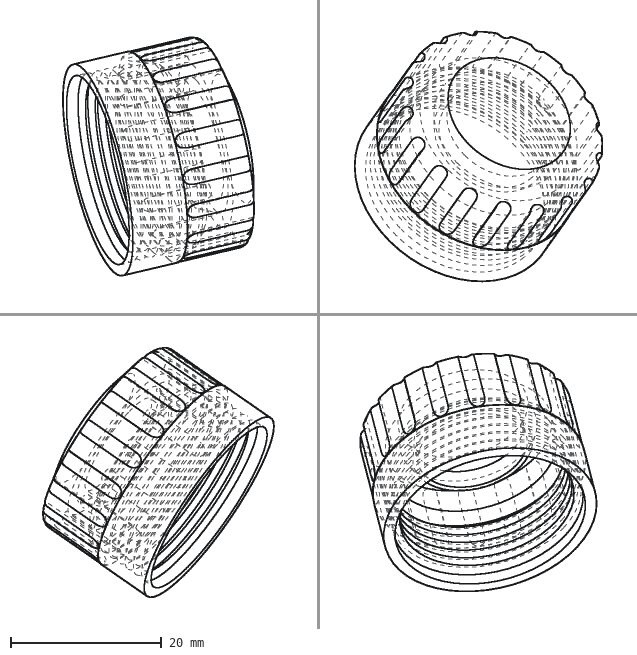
import cadquery as cq
import math


collar_radius = 14.38
collar_length = 7.65
grip_radius = 14.32
grip_end = 17.25
grip_fillet = 0.98
cap_length = 18.8
crown_base_radius = grip_radius - grip_fillet
crown_top_radius = 8.77

mouth_radius = 12.85
mouth_depth = 1.6
crest_radius = 11.75
first_crest = 2.3
thread_pitch = 1.35
crest_count = 6
relief_end = 10.24
relief_cone_end = 11.4
bore_radius = 11.25
bore_floor = 15.0

groove_count = 18
groove_radius = 1.05
groove_depth = 0.98
groove_straight_end = 9.57
groove_runout_radius = 2.2

seal_inner_radius = 7.4
seal_tip_radius = 8.08
seal_base_radius = 9.25
seal_tip = 12.25


def revolve_about_y(profile):
    return profile.close().revolve(360, (0, 0, 0), (0, 1, 0))


def make_cap_blank():
    """Solid outside of the cap, with the rounded grip shoulder below the conical crown."""
    shoulder_offset = grip_fillet * math.sqrt(0.5)
    shoulder_middle = (
        crown_base_radius + shoulder_offset,
        grip_end - grip_fillet + shoulder_offset,
    )
    profile = (
        cq.Workplane("XY")
        .lineTo(collar_radius, 0)
        .lineTo(collar_radius, collar_length)
        .lineTo(grip_radius, collar_length)
        .lineTo(grip_radius, grip_end - grip_fillet)
        .threePointArc(shoulder_middle, (crown_base_radius, grip_end))
        .lineTo(crown_top_radius, cap_length)
        .lineTo(0, cap_length)
    )
    return revolve_about_y(profile)


def make_cavity():
    """Mouth, ring-shaped V thread, relief groove and plain bore as one cutter."""
    profile = cq.Workplane("XY").lineTo(mouth_radius, 0).lineTo(mouth_radius, mouth_depth)
    for index in range(crest_count):
        crest = first_crest + index * thread_pitch
        profile = profile.lineTo(crest_radius, crest)
        profile = profile.lineTo(mouth_radius, crest + thread_pitch / 2)
    profile = (
        profile.lineTo(mouth_radius, relief_end)
        .lineTo(bore_radius, relief_cone_end)
        .lineTo(bore_radius, bore_floor)
        .lineTo(0, bore_floor)
    )
    return revolve_about_y(profile)


def make_groove_cutter():
    """Round-bottomed groove at the +Z side that curves outward at its collar end."""
    groove_center = grip_radius - groove_depth + groove_radius
    runout_offset = groove_runout_radius - groove_radius
    section = cq.Workplane("XZ", origin=(0, groove_straight_end, groove_center))
    straight = section.circle(groove_radius).extrude(groove_straight_end - grip_end)
    runout = section.circle(groove_radius).revolve(90, (0.3, runout_offset, 0), (-0.3, runout_offset, 0))
    return straight.union(runout)


def make_cap():
    cap = make_cap_blank().cut(make_cavity())
    groove = make_groove_cutter()
    for index in range(groove_count):
        angle = index * 360 / groove_count
        cap = cap.cut(groove.rotate((0, 0, 0), (0, 1, 0), angle))
    return cap


def make_seal():
    profile = (
        cq.Workplane("XY")
        .moveTo(seal_inner_radius, seal_tip)
        .lineTo(seal_tip_radius, seal_tip)
        .lineTo(seal_base_radius, bore_floor)
        .lineTo(seal_inner_radius, bore_floor)
    )
    return revolve_about_y(profile)


cap = make_cap()
seal = make_seal()

result = cq.Compound.makeCompound([cap.val(), seal.val()])